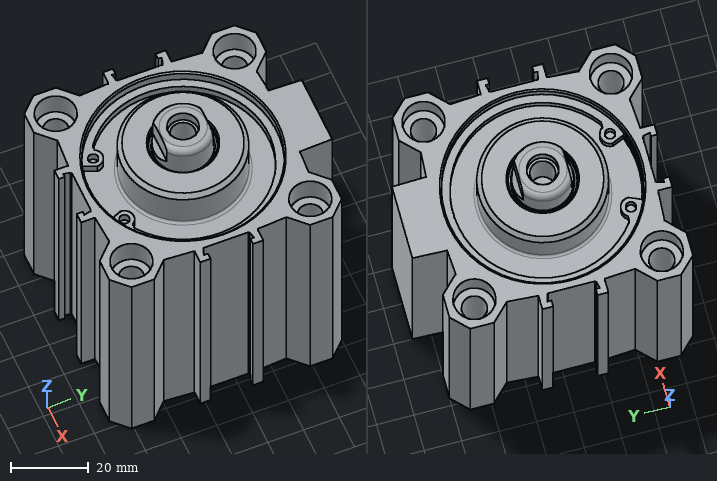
import cadquery as cq
import math

HOUSING_HEIGHT = 64.4
WIDTH = 65.0
DEPTH = 70.0
HALF_WIDTH = WIDTH / 2
POST_CHAMFER = 4.4
POST_INNER_EDGE = 21.8
NECK_HALF_WIDTH = 27.85
WALL_HALF_WIDTH = 28.4
SLOT_OUTER = 8.8

LIP_REACH = 32.2
LIP_DEPTH = 1.7
SLOT_MOUTH = 5.9
SLOT_UNDERCUT = 6.95
SLOT_FLOOR_HALF = 6.55
SLOT_FLOOR_CHAMFER = 0.3

BLOCK_REACH = DEPTH - HALF_WIDTH
BLOCK_ROOT_HALF = 10.4
BLOCK_TIP_HALF = 10.1

HOLE_SPACING = 50.0
HOLE_DIAMETER = 6.6
COUNTERBORE_DIAMETER = 11.0
COUNTERBORE_DEPTH = 7.2

BORE_DIAMETER = 52.2
BORE_CHAMFER = 0.5

RING_DIAMETER = 55.2
RING_INNER_DIAMETER = 47.7
RING_TOP_DEPTH = 3.05
RING_THICKNESS = 2.35
LUG_X = 10.3
LUG_Y = -20.75
LUG_RADIUS = 2.65
LUG_HOLE_DIAMETER = 2.7
LUG_NECK_X = 12.55
RING_END_X = 9.8

COVER_DIAMETER = 51.8
COVER_FLANGE_THICKNESS = 10.0
FLANGE_CHAMFER = 0.3
COVER_TOP = 70.6
BOSS_DIAMETER = 33.9
BOSS_CHAMFER = 1.25
BOSS_ROOT_FILLET = 0.8
RECESS_DIAMETER = 18.0
RECESS_CHAMFER = 0.4
RECESS_STEPS = (
    (RECESS_DIAMETER, 1.2),
    (17.7, 1.55),
    (16.5, 1.95),
)

ROD_TOP = 78.0
ROD_DIAMETER = 16.0
ROD_FILLET = 1.8
FLATS_WIDTH = 12.95
FLATS_LENGTH = 5.85
SOCKET_MOUTH_DIAMETER = 8.3
SOCKET_MOUTH_DEPTH = 3.05
SOCKET_DIAMETER = 6.6
SOCKET_DEPTH = 15.6
DRILL_POINT_HALF_ANGLE = 80

RING_TOP = HOUSING_HEIGHT - RING_TOP_DEPTH
RING_BOTTOM = RING_TOP - RING_THICKNESS
FLANGE_BOTTOM = RING_BOTTOM - COVER_FLANGE_THICKNESS


def cylinder(diameter, bottom, top):
    return cq.Workplane("XY").workplane(offset=bottom).circle(diameter / 2).extrude(top - bottom)


def housing_core():
    """Square profile with four octagonal corner posts, slightly bowed between the posts."""
    post_neck = POST_INNER_EDGE - (HALF_WIDTH - NECK_HALF_WIDTH)
    rising = [
        (WALL_HALF_WIDTH, SLOT_OUTER),
        (NECK_HALF_WIDTH, post_neck),
        (HALF_WIDTH, POST_INNER_EDGE),
        (HALF_WIDTH, HALF_WIDTH - POST_CHAMFER),
    ]
    quarter = rising + [(y, x) for x, y in reversed(rising)]
    outline = []
    for _ in range(4):
        outline += quarter
        quarter = [(-y, x) for x, y in quarter]
    return cq.Workplane("XY").polyline(outline).close().extrude(HOUSING_HEIGHT)


def slot_lips():
    """Pair of hooked lips forming a T-slot on the +X side."""
    lip_inner = LIP_REACH - LIP_DEPTH
    upper = (
        cq.Workplane("XY")
        .polyline([
            (NECK_HALF_WIDTH, SLOT_OUTER),
            (LIP_REACH, SLOT_OUTER),
            (LIP_REACH, SLOT_MOUTH),
            (lip_inner, SLOT_MOUTH),
            (lip_inner, SLOT_UNDERCUT),
            (WALL_HALF_WIDTH + SLOT_FLOOR_CHAMFER, SLOT_FLOOR_HALF),
            (WALL_HALF_WIDTH, SLOT_FLOOR_HALF - SLOT_FLOOR_CHAMFER),
            (NECK_HALF_WIDTH, SLOT_FLOOR_HALF - SLOT_FLOOR_CHAMFER),
        ])
        .close()
        .extrude(HOUSING_HEIGHT)
    )
    return upper.union(upper.mirror("XZ"))


def port_block():
    return (
        cq.Workplane("XY")
        .polyline([
            (-BLOCK_ROOT_HALF, NECK_HALF_WIDTH),
            (BLOCK_ROOT_HALF, NECK_HALF_WIDTH),
            (BLOCK_TIP_HALF, BLOCK_REACH),
            (-BLOCK_TIP_HALF, BLOCK_REACH),
        ])
        .close()
        .extrude(HOUSING_HEIGHT)
    )


def make_housing():
    body = housing_core().union(port_block())
    for side_angle in (0, 180, 270):
        body = body.union(slot_lips().rotate((0, 0, 0), (0, 0, 1), side_angle))

    body = (
        body.faces(">Z").workplane(origin=(0, 0, HOUSING_HEIGHT))
        .rect(HOLE_SPACING, HOLE_SPACING, forConstruction=True).vertices()
        .cboreHole(HOLE_DIAMETER, COUNTERBORE_DIAMETER, COUNTERBORE_DEPTH)
    )

    bore = cylinder(BORE_DIAMETER, FLANGE_BOTTOM, HOUSING_HEIGHT)
    bore_chamfer = cq.Workplane("XY").add(cq.Solid.makeCone(
        BORE_DIAMETER / 2, BORE_DIAMETER / 2 + BORE_CHAMFER, BORE_CHAMFER,
        pnt=cq.Vector(0, 0, HOUSING_HEIGHT - BORE_CHAMFER),
    ))
    groove = cylinder(RING_DIAMETER, RING_BOTTOM, RING_TOP)
    return body.cut(bore).cut(bore_chamfer).cut(groove)


def make_snap_ring():
    """Internal snap ring, open towards -Y, with a holed lug at each end."""
    outer_radius = RING_DIAMETER / 2
    inner_radius = RING_INNER_DIAMETER / 2
    end_y = -math.sqrt(outer_radius**2 - RING_END_X**2)
    neck_y = LUG_Y + math.sqrt(LUG_RADIUS**2 - (LUG_NECK_X - LUG_X) ** 2)
    neck_outer_x = math.sqrt(inner_radius**2 - neck_y**2)
    lug_top_y = LUG_Y + LUG_RADIUS
    lug_side_x = LUG_X - LUG_RADIUS
    ring = (
        cq.Workplane("XY").workplane(offset=RING_BOTTOM)
        .moveTo(RING_END_X, end_y)
        .threePointArc((0, outer_radius), (-RING_END_X, end_y))
        .lineTo(-lug_side_x, LUG_Y)
        .threePointArc((-LUG_X, lug_top_y), (-LUG_NECK_X, neck_y))
        .lineTo(-neck_outer_x, neck_y)
        .threePointArc((0, inner_radius), (neck_outer_x, neck_y))
        .lineTo(LUG_NECK_X, neck_y)
        .threePointArc((LUG_X, lug_top_y), (lug_side_x, LUG_Y))
        .close()
        .extrude(RING_THICKNESS)
    )
    lug_holes = (
        cq.Workplane("XY").workplane(offset=RING_BOTTOM)
        .pushPoints([(-LUG_X, LUG_Y), (LUG_X, LUG_Y)])
        .circle(LUG_HOLE_DIAMETER / 2)
        .extrude(RING_THICKNESS)
    )
    return ring.cut(lug_holes)


def make_cover():
    """Flanged cover below the snap ring, with a boss that guides the rod."""
    flange = cylinder(COVER_DIAMETER, FLANGE_BOTTOM, RING_BOTTOM).faces(">Z").chamfer(FLANGE_CHAMFER)
    boss = cylinder(BOSS_DIAMETER, FLANGE_BOTTOM, COVER_TOP).faces(">Z").chamfer(BOSS_CHAMFER)
    margin = FLANGE_CHAMFER / 2
    flange_top_level = cq.selectors.BoxSelector(
        (-margin, -margin, RING_BOTTOM - margin),
        (margin, margin, RING_BOTTOM + margin),
    )
    boss_root = cq.selectors.RadiusNthSelector(0)
    body = flange.union(boss).edges(flange_top_level).edges(boss_root).fillet(BOSS_ROOT_FILLET)

    rod_hole = cylinder(ROD_DIAMETER, FLANGE_BOTTOM, COVER_TOP)
    recess_chamfer = cq.Workplane("XY").add(cq.Solid.makeCone(
        RECESS_DIAMETER / 2, RECESS_DIAMETER / 2 + RECESS_CHAMFER, RECESS_CHAMFER,
        pnt=cq.Vector(0, 0, COVER_TOP - RECESS_CHAMFER),
    ))
    body = body.cut(rod_hole).cut(recess_chamfer)
    for diameter, depth in RECESS_STEPS:
        body = body.cut(cylinder(diameter, COVER_TOP - depth, COVER_TOP))
    return body


def make_rod():
    body = cylinder(ROD_DIAMETER, FLANGE_BOTTOM, ROD_TOP).faces(">Z").edges().fillet(ROD_FILLET)

    flat_y = FLATS_WIDTH / 2
    flat_bottom = ROD_TOP - FLATS_LENGTH
    run_out = ROD_DIAMETER - flat_y
    flat_cut = (
        cq.Workplane("YZ")
        .polyline([
            (flat_y, ROD_TOP),
            (flat_y, flat_bottom),
            (flat_y + run_out, flat_bottom - run_out),
            (flat_y + run_out, ROD_TOP),
        ])
        .close()
        .extrude(ROD_DIAMETER / 2, both=True)
    )
    body = body.cut(flat_cut).cut(flat_cut.mirror("XZ"))

    mouth = cylinder(SOCKET_MOUTH_DIAMETER, ROD_TOP - SOCKET_MOUTH_DEPTH, ROD_TOP)
    socket_bottom = ROD_TOP - SOCKET_DEPTH
    socket = cylinder(SOCKET_DIAMETER, socket_bottom, ROD_TOP)
    point_length = SOCKET_DIAMETER / 2 / math.tan(math.radians(DRILL_POINT_HALF_ANGLE))
    drill_point = cq.Workplane("XY").add(cq.Solid.makeCone(
        0, SOCKET_DIAMETER / 2, point_length,
        pnt=cq.Vector(0, 0, socket_bottom - point_length),
    ))
    return body.cut(mouth).cut(socket).cut(drill_point)


housing = make_housing()
snap_ring = make_snap_ring()
cover = make_cover()
rod = make_rod()

result = cq.Compound.makeCompound([housing.val(), snap_ring.val(), cover.val(), rod.val()])